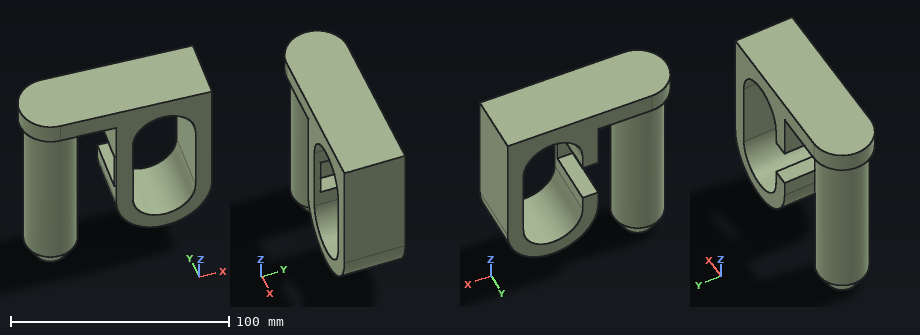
import cadquery as cq

total_height = 100.0
depth = 30.0
head_thickness = 10.0
head_underside = total_height - head_thickness

pin_diameter = 25.0
tip_diameter = 15.0
tip_height = 8.7

grip_center_x = 50.0
grip_opening_width = 30.0
grip_wall = 8.0
grip_arc_z = 39.0
opening_radius = grip_opening_width / 2
grip_radius = opening_radius + grip_wall
grip_left = grip_center_x - grip_radius
grip_right = grip_center_x + grip_radius

notch_bottom = 47.0
notch_height = 20.0
notch_front_margin = 3.0


def make_head():
    """Flat bar with a full round at the pin end."""
    bar = cq.Workplane("XY").box(grip_right, depth, head_thickness, centered=(False, True, False))
    round_end = cq.Workplane("XY").circle(depth / 2).extrude(head_thickness)
    return bar.union(round_end).translate((0, 0, head_underside))


def make_pin():
    """Turned pin reaching down from the head."""
    return (
        cq.Workplane("XZ")
        .lineTo(tip_diameter / 2, 0)
        .lineTo(pin_diameter / 2, tip_height)
        .lineTo(pin_diameter / 2, head_underside)
        .lineTo(0, head_underside)
        .close()
        .revolve(360, (0, 0), (0, 1))
    )


def make_grip():
    """Round-bottomed plate that carries the finger opening."""
    return (
        cq.Workplane("XZ")
        .moveTo(grip_left, total_height)
        .lineTo(grip_left, grip_arc_z)
        .threePointArc((grip_center_x, grip_arc_z - grip_radius), (grip_right, grip_arc_z))
        .lineTo(grip_right, total_height)
        .close()
        .extrude(depth / 2, both=True)
    )


def make_opening():
    """Obround finger opening that ends level with the head underside."""
    bottom = grip_arc_z - opening_radius
    return (
        cq.Workplane("XZ")
        .center(grip_center_x, (bottom + head_underside) / 2)
        .slot2D(head_underside - bottom, grip_opening_width, 90)
        .extrude(depth / 2, both=True)
    )


def make_notch():
    """Rectangular notch in the pin-side grip wall."""
    notch_depth = depth - notch_front_margin
    notch = cq.Workplane("XY").box(grip_wall, notch_depth, notch_height, centered=False)
    return notch.translate((grip_left, notch_front_margin - depth / 2, notch_bottom))


result = (
    make_head()
    .union(make_pin())
    .union(make_grip())
    .cut(make_opening())
    .cut(make_notch())
)